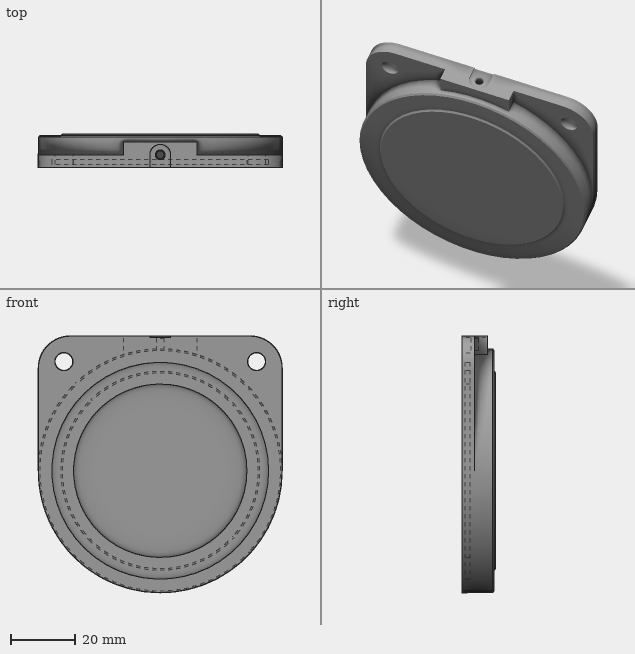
import cadquery as cq


body_diameter = 76.0
body_radius = body_diameter / 2
body_depth = 10.0
body_edge_chamfer = 0.5
overall_height = 80.0
top_z = overall_height - body_radius

flange_thickness = 4.0
flange_corner_radius = 10.0
mount_hole_diameter = 5.5
mount_hole_inset = 8.0

pad_diameter = 62.0
pad_height = 0.5
pad_taper_angle = 45.0

block_width = 23.0
block_depth = 8.0
block_height = 6.0

recess_width = 6.5
recess_depth = 0.5
port_y = 4.0
port_diameter = 2.46
port_countersink_diameter = 3.0
port_countersink_depth = (port_countersink_diameter - port_diameter) / 2
port_depth = 4.0

bore_diameter = 67.5
bore_depth = 2.5
ring_setback = 1.0
ring_inner_diameter = 54.0
ring_thickness = bore_depth - ring_setback


def disc(diameter, start_y, depth):
    """Solid cylinder on the disc axis from start_y toward +Y."""
    plane = cq.Workplane("XZ", origin=(0, start_y, 0))
    return plane.circle(diameter / 2).extrude(-depth)


def make_flange():
    """D-shaped plate: square top with rounded corners, semicircular bottom."""
    plate = (
        cq.Workplane("XZ")
        .moveTo(-body_radius, 0)
        .threePointArc((0, -body_radius), (body_radius, 0))
        .lineTo(body_radius, top_z)
        .lineTo(-body_radius, top_z)
        .close()
        .extrude(-flange_thickness)
    )
    return plate.edges("|Y and >Z").fillet(flange_corner_radius)


def make_mount_holes():
    """Cutters for the through holes in the two upper flange corners."""
    hole_x = body_radius - mount_hole_inset
    hole_z = top_z - mount_hole_inset
    return (
        cq.Workplane("XZ")
        .pushPoints([(-hole_x, hole_z), (hole_x, hole_z)])
        .circle(mount_hole_diameter / 2)
        .extrude(-flange_thickness)
    )


def make_pad():
    """Low conical pad on the back face, narrowing outward."""
    back_plane = cq.Workplane("XZ", origin=(0, body_depth, 0))
    return back_plane.circle(pad_diameter / 2).extrude(-pad_height, taper=pad_taper_angle)


def make_connector_block():
    """Block joined to the flange and flush with its top edge and mounting face."""
    base_plane = cq.Workplane("XY", origin=(0, 0, top_z - block_height))
    return base_plane.box(block_width, block_depth, block_height, centered=(True, False, False))


def make_port_cut():
    """Round-ended recess open to the front, and the countersunk hole in its floor."""
    floor_z = top_z - recess_depth
    half_width = recess_width / 2
    recess = (
        cq.Workplane("XY", origin=(0, 0, floor_z))
        .moveTo(-half_width, 0)
        .lineTo(half_width, 0)
        .lineTo(half_width, port_y)
        .threePointArc((0, port_y + half_width), (-half_width, port_y))
        .close()
        .extrude(recess_depth)
    )
    floor_plane = cq.Workplane("XY", origin=(0, port_y, floor_z))
    hole = floor_plane.circle(port_diameter / 2).extrude(-port_depth)
    countersink = (
        floor_plane.circle(port_countersink_diameter / 2)
        .workplane(offset=-port_countersink_depth)
        .circle(port_diameter / 2)
        .loft(ruled=True)
    )
    return recess.union(hole).union(countersink)


def make_housing():
    """Round body with flange, back pad, connector block and front bore."""
    body = disc(body_diameter, 0, body_depth).faces(">Y").chamfer(body_edge_chamfer)
    solid = body.union(make_flange()).union(make_pad()).union(make_connector_block())
    solid = solid.cut(make_mount_holes()).cut(make_port_cut())
    return solid.cut(disc(bore_diameter, 0, bore_depth))


def make_ring():
    """Flat ring on the bore floor, set back from the mounting face."""
    ring = disc(bore_diameter, ring_setback, ring_thickness)
    return ring.cut(disc(ring_inner_diameter, ring_setback, ring_thickness))


housing = make_housing()
ring = make_ring()

result = cq.Compound.makeCompound([housing.val(), ring.val()])